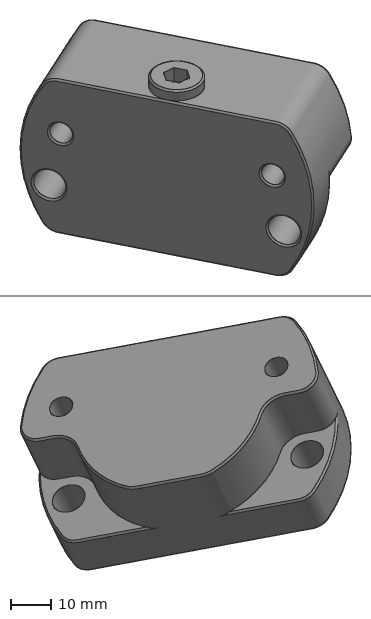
import cadquery as cq
import math

LENGTH = 77.8
END_RADIUS = LENGTH / 2
HEIGHT = 46.0
DEPTH = 29.0
PLATE_DEPTH = 12.45
CORNER_RADIUS = 5.0
EDGE_CHAMFER = 0.5

LEDGE_Z = -2.2
FOOT_RADIUS = 25.0
HOLLOW_RADIUS = 6.45
TOE_RADIUS = 7.0
BLOCK_START = PLATE_DEPTH / 2

SMALL_HOLE_DIAMETER = 6.0
SMALL_HOLE_X = 28.0
SMALL_HOLE_Z = 7.0
LARGE_HOLE_DIAMETER = 8.5
LARGE_HOLE_X = 31.0
LARGE_HOLE_Z = -8.95

PLUG_DIAMETER = 14.0
PLUG_HEAD_HEIGHT = 3.0
PLUG_CHAMFER = 0.5
PLUG_Y = 7.55
SHANK_DIAMETER = 10.0
SHANK_LENGTH = 8.0
HEX_ACROSS_FLATS = 6.0
HEX_ACROSS_CORNERS = HEX_ACROSS_FLATS / math.cos(math.radians(30))
HEX_DEPTH = 4.05

TOP_Z = HEIGHT / 2
AXIS = (0, 0)
FRONT_PLANE = cq.Plane(origin=(0, 0, 0), xDir=(1, 0, 0), normal=(0, -1, 0))


def point_on(centre, radius, direction):
    """Point on a circle, on the side that the direction vector points to."""
    scale = radius / math.hypot(*direction)
    return centre[0] + direction[0] * scale, centre[1] + direction[1] * scale


def mirrored(point):
    return -point[0], point[1]


def arc_middle(centre, radius, start, end):
    """Middle of the shorter arc between two points of a circle."""
    chord_middle = ((start[0] + end[0]) / 2 - centre[0], (start[1] + end[1]) / 2 - centre[1])
    return point_on(centre, radius, chord_middle)


def inner_corner(radius, z, rounding=CORNER_RADIUS):
    """Centre, on the left at height z, of a rounding that touches a circle about the axis from inside."""
    return -math.sqrt((radius - rounding) ** 2 - z**2), z


def plate_outline():
    """Straight top and bottom, bowed ends and four rounded corners."""
    corner_z = TOP_Z - CORNER_RADIUS
    corner = inner_corner(END_RADIUS, corner_z)
    flat_end = (corner[0], TOP_Z)
    bow_start = point_on(AXIS, END_RADIUS, corner)
    rounding = arc_middle(corner, CORNER_RADIUS, flat_end, bow_start)

    def flipped(point):
        return point[0], -point[1]

    return (
        cq.Workplane(FRONT_PLANE)
        .moveTo(*flat_end)
        .threePointArc(rounding, bow_start)
        .threePointArc((-END_RADIUS, 0), flipped(bow_start))
        .threePointArc(flipped(rounding), flipped(flat_end))
        .lineTo(*flipped(mirrored(flat_end)))
        .threePointArc(flipped(mirrored(rounding)), flipped(mirrored(bow_start)))
        .threePointArc((END_RADIUS, 0), mirrored(bow_start))
        .threePointArc(mirrored(rounding), mirrored(flat_end))
        .close()
    )


def block_outline():
    """Upper part as the plate; below the ledges only a central round foot is left."""
    top_corner = inner_corner(END_RADIUS, TOP_Z - CORNER_RADIUS)
    ledge_corner = inner_corner(END_RADIUS, LEDGE_Z + CORNER_RADIUS)

    hollow_z = LEDGE_Z - HOLLOW_RADIUS
    hollow = (-math.sqrt((FOOT_RADIUS + HOLLOW_RADIUS) ** 2 - hollow_z**2), hollow_z)
    toe = inner_corner(FOOT_RADIUS, -TOP_Z + TOE_RADIUS, TOE_RADIUS)

    top_end = (top_corner[0], TOP_Z)
    bow_top = point_on(AXIS, END_RADIUS, top_corner)
    bow_bottom = point_on(AXIS, END_RADIUS, ledge_corner)
    ledge_outer = (ledge_corner[0], LEDGE_Z)
    ledge_inner = (hollow[0], LEDGE_Z)
    foot_top = point_on(AXIS, FOOT_RADIUS, hollow)
    foot_bottom = point_on(AXIS, FOOT_RADIUS, toe)
    bottom_end = (toe[0], -TOP_Z)

    left_half = [
        (arc_middle(top_corner, CORNER_RADIUS, top_end, bow_top), bow_top),
        (arc_middle(AXIS, END_RADIUS, bow_top, bow_bottom), bow_bottom),
        (arc_middle(ledge_corner, CORNER_RADIUS, bow_bottom, ledge_outer), ledge_outer),
        (None, ledge_inner),
        (arc_middle(hollow, HOLLOW_RADIUS, ledge_inner, foot_top), foot_top),
        (arc_middle(AXIS, FOOT_RADIUS, foot_top, foot_bottom), foot_bottom),
        (arc_middle(toe, TOE_RADIUS, foot_bottom, bottom_end), bottom_end),
    ]
    outline = cq.Workplane(FRONT_PLANE).moveTo(*top_end)
    for middle, end in left_half:
        outline = outline.threePointArc(middle, end) if middle else outline.lineTo(*end)

    outline = outline.lineTo(*mirrored(bottom_end))
    starts = [top_end] + [end for _, end in left_half[:-1]]
    for start, (middle, _) in reversed(list(zip(starts, left_half))):
        end = mirrored(start)
        outline = outline.threePointArc(mirrored(middle), end) if middle else outline.lineTo(*end)
    return outline.close()


def through_holes(diameter, x, z):
    """A left and a right hole along Y, with countersunk front edges."""
    holes = cq.Workplane(FRONT_PLANE).pushPoints([(-x, z), (x, z)]).circle(diameter / 2).extrude(-DEPTH)
    mouths = (
        cq.Workplane(FRONT_PLANE)
        .pushPoints([(-x, z), (x, z)])
        .circle(diameter / 2 + EDGE_CHAMFER)
        .extrude(-EDGE_CHAMFER, taper=45)
    )
    return holes.union(mouths)


def plug_shank():
    """Cylinder below the plug head; it also cuts its matching bore in the housing."""
    return cq.Workplane("XY", origin=(0, PLUG_Y, TOP_Z)).circle(SHANK_DIAMETER / 2).extrude(-SHANK_LENGTH)


def make_plug():
    """Round screw plug with a hexagon socket, its head resting on the top face."""
    head = (
        cq.Workplane("XY", origin=(0, PLUG_Y, TOP_Z))
        .circle(PLUG_DIAMETER / 2)
        .extrude(PLUG_HEAD_HEIGHT)
        .faces(">Z")
        .chamfer(PLUG_CHAMFER)
    )
    socket = (
        cq.Workplane("XY", origin=(0, PLUG_Y, TOP_Z + PLUG_HEAD_HEIGHT))
        .polygon(6, HEX_ACROSS_CORNERS)
        .extrude(-HEX_DEPTH)
    )
    return head.union(plug_shank()).cut(socket).solids()


def make_housing():
    """Plate and block in one piece, with the four mounting holes and the plug bore."""
    plate = plate_outline().extrude(-PLATE_DEPTH).faces("<Y or >Y").chamfer(EDGE_CHAMFER)
    block = block_outline().extrude(-DEPTH).faces(">Y").chamfer(EDGE_CHAMFER)
    plate_front = cq.Workplane("XY").box(
        LENGTH, BLOCK_START, HEIGHT, centered=(True, False, True)
    )
    body = plate.union(block.cut(plate_front))
    body = body.cut(through_holes(SMALL_HOLE_DIAMETER, SMALL_HOLE_X, SMALL_HOLE_Z))
    body = body.cut(through_holes(LARGE_HOLE_DIAMETER, LARGE_HOLE_X, LARGE_HOLE_Z))
    return body.cut(plug_shank()).solids()


housing = make_housing()
plug = make_plug()

result = cq.Compound.makeCompound([housing.val(), plug.val()])